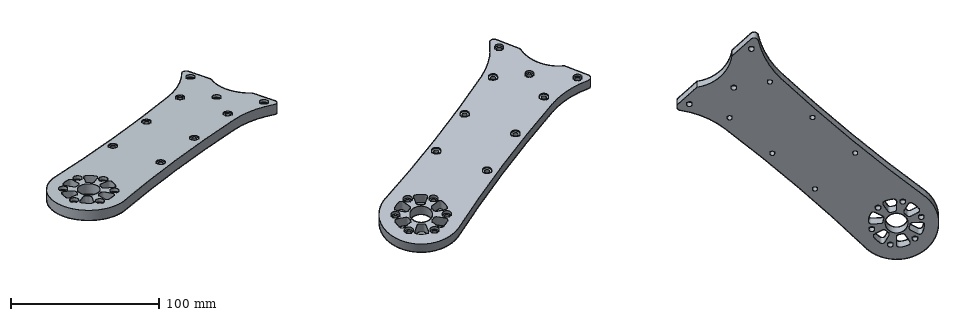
import cadquery as cq
import math

length = 199.0
width = 76.6
thickness = 8.0

end_radius = 28.5
top_y = length - end_radius
waist_half_width = 25.9
waist_y = 77.6
flare_start_y = 134.3
corner_radius = 3.0
notch_half_width = 17.0
notch_depth = 5.5

end_screw_diameter = 3.8
end_head_diameter = 6.2
end_head_depth = 2.0
corner_hole_x = 30.0
corner_hole_y = 165.0
middle_hole_y = 152.5

side_screw_diameter = 3.4
side_head_diameter = 6.4
side_head_depth = 1.0
side_row_spacing = 39.0
side_rows_middle_x = -0.5
side_hole_first_y = 58.1
side_hole_pitch = 40.0
side_holes_per_row = 3

bore_diameter = 15.3
hub_count = 6
hub_step = 360 / hub_count
hub_screw_circle_radius = 17.3
hub_screw_diameter = 3.8
hub_head_diameter = 6.2
hub_head_depth = 2.5
window_inner_radius = 9.2
window_outer_radius = 19.0
window_half_angle = 16.0
window_corner_radius = 2.0


def polar(radius, degrees):
    angle = math.radians(degrees)
    return radius * math.cos(angle), radius * math.sin(angle)


def half_plate():
    """Right half of the plate, bounded by the centre line x = 0."""
    side_sag = end_radius - waist_half_width
    side_radius = (waist_y**2 + side_sag**2) / (2 * side_sag)
    side_centre_x = waist_half_width + side_radius
    tilt = math.asin((flare_start_y - waist_y) / side_radius)
    normal_x = math.cos(tilt)
    normal_y = -math.sin(tilt)
    flare_start_x = side_centre_x - side_radius * normal_x

    corner_x = width / 2 - corner_radius
    corner_y = top_y - corner_radius
    dx = flare_start_x - corner_x
    dy = flare_start_y - corner_y
    flare_radius = (dx**2 + dy**2 - corner_radius**2) / (2 * (corner_radius - dx * normal_x - dy * normal_y))
    flare_centre_x = flare_start_x + flare_radius * normal_x
    flare_centre_y = flare_start_y + flare_radius * normal_y
    corner_angle = math.degrees(math.atan2(flare_centre_y - corner_y, flare_centre_x - corner_x))
    corner_start_x, corner_start_y = polar(corner_radius, corner_angle)

    notch_radius = (notch_half_width**2 + notch_depth**2) / (2 * notch_depth)

    return (
        cq.Workplane("XY")
        .moveTo(0, -end_radius)
        .threePointArc(polar(end_radius, -45), (end_radius, 0))
        .threePointArc((waist_half_width, waist_y), (flare_start_x, flare_start_y))
        .radiusArc((corner_x + corner_start_x, corner_y + corner_start_y), flare_radius)
        .threePointArc((width / 2, corner_y), (corner_x, top_y))
        .lineTo(notch_half_width, top_y)
        .radiusArc((0, top_y - notch_depth), notch_radius)
        .close()
        .extrude(thickness)
    )


def screw_holes(points, diameter, head_diameter, head_depth):
    """Through holes with a head recess in the upper face, as a solid to cut away."""
    shanks = cq.Workplane("XY").pushPoints(points).circle(diameter / 2).extrude(thickness)
    heads = (
        cq.Workplane("XY", origin=(0, 0, thickness))
        .pushPoints(points)
        .circle(head_diameter / 2)
        .extrude(-head_depth)
    )
    return shanks.union(heads)


def hub_window():
    """Ring-sector window centred on the +X axis, with rounded corners."""
    return (
        cq.Workplane("XY")
        .moveTo(*polar(window_inner_radius, -window_half_angle))
        .lineTo(*polar(window_outer_radius, -window_half_angle))
        .threePointArc((window_outer_radius, 0), polar(window_outer_radius, window_half_angle))
        .lineTo(*polar(window_inner_radius, window_half_angle))
        .threePointArc((window_inner_radius, 0), polar(window_inner_radius, -window_half_angle))
        .close()
        .extrude(thickness)
        .edges("|Z")
        .fillet(window_corner_radius)
    )


right_half = half_plate()
plate = right_half.union(right_half.mirror("YZ")).clean()

end_hole_points = [
    (-corner_hole_x, corner_hole_y),
    (0, middle_hole_y),
    (corner_hole_x, corner_hole_y),
]
plate = plate.cut(screw_holes(end_hole_points, end_screw_diameter, end_head_diameter, end_head_depth))

side_hole_points = [
    (side_rows_middle_x + side * side_row_spacing / 2, side_hole_first_y + i * side_hole_pitch)
    for side in (-1, 1)
    for i in range(side_holes_per_row)
]
plate = plate.cut(screw_holes(side_hole_points, side_screw_diameter, side_head_diameter, side_head_depth))

hub_screw_points = [polar(hub_screw_circle_radius, (i + 0.5) * hub_step) for i in range(hub_count)]
plate = plate.cut(screw_holes(hub_screw_points, hub_screw_diameter, hub_head_diameter, hub_head_depth))

window = hub_window()
for i in range(hub_count):
    plate = plate.cut(window.rotate((0, 0, 0), (0, 0, 1), i * hub_step))

bore = cq.Workplane("XY").circle(bore_diameter / 2).extrude(thickness)
result = plate.cut(bore)